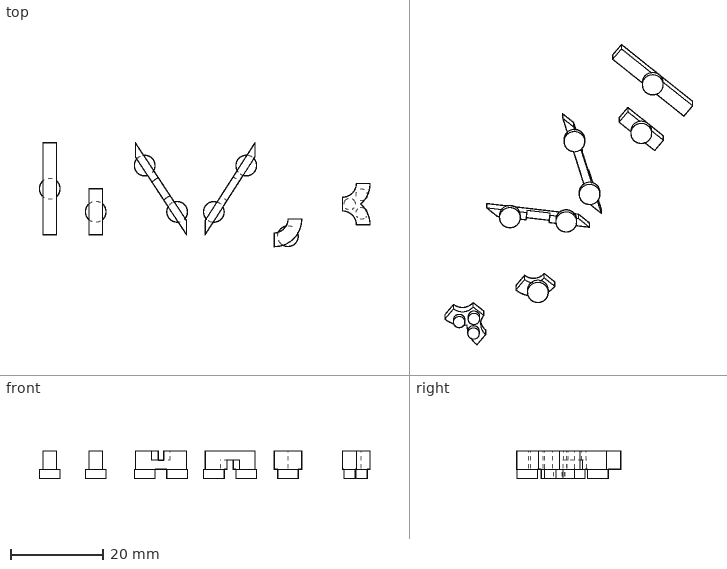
import cadquery as cq
import math

overall_length = 71.7

peg_height = 2.0
body_height = 4.0
notch_depth = 2.0
peg_diameter = 4.5
small_peg_diameter = 2.5

bar_width = 3.0
long_bar_length = 20.0
short_bar_length = long_bar_length / 2
bar_spacing = 10.0

slant_end_length = 3.1
slant_peg_rise = 5.0
slant_peg_run = 3.5
left_slant_center_x = 24.1
left_slant_span = 11.1
left_notch_length = 4.65
right_slant_center_x = 39.1
right_slant_span = 10.8
right_notch_length = 5.0

inner_radius = 3.0
outer_radius = inner_radius + bar_width
elbow_corner = (48.6, 3.45)
elbow_peg_offset = (3.0, -3.7)
fork_right_x = overall_length - peg_diameter / 2
fork_left_x = fork_right_x - outer_radius
fork_center_y = 6.7
fork_stem_peg_x = 1.6
fork_branch_peg_x = 4.15
fork_branch_peg_y = 2.0


def add_pegs(body, centers, diameter=peg_diameter):
    """Join round pegs to the underside of a body."""
    pegs = cq.Workplane("XY").pushPoints(centers).circle(diameter / 2).extrude(peg_height)
    return body.union(pegs)


def make_straight_bar(center_x, length):
    """Rectangular bar starting at Y = 0 with one central peg."""
    bar = (
        cq.Workplane("XY", origin=(center_x, length / 2, peg_height))
        .rect(bar_width, length)
        .extrude(body_height)
    )
    return add_pegs(bar, [(center_x, length / 2)])


def make_slanted_bar(center_x, span, lean, notch_length, notch_bottom):
    """Notched slanted bar; lean is +1 when it rises toward +X and -1 toward -X."""
    center_y = long_bar_length / 2
    side_x = lean * span / 2
    side_rise = long_bar_length - slant_end_length
    bar = (
        cq.Workplane("XY", origin=(center_x, 0, peg_height))
        .moveTo(-side_x, 0)
        .lineTo(side_x, side_rise)
        .lineTo(side_x, long_bar_length)
        .lineTo(-side_x, slant_end_length)
        .close()
        .extrude(body_height)
    )
    slant_angle = math.degrees(math.atan2(side_rise, lean * span))
    notch = (
        cq.Workplane("XY")
        .box(notch_length, slant_end_length, notch_depth, centered=(True, True, False))
        .rotate((0, 0, 0), (0, 0, 1), slant_angle)
        .translate((center_x, center_y, notch_bottom))
    )
    peg_centers = [
        (center_x + side * lean * slant_peg_run, center_y + side * slant_peg_rise)
        for side in (-1, 1)
    ]
    return add_pegs(bar.cut(notch), peg_centers)


def make_quarter_ring(center_x, center_y, turn):
    """Quarter ring on the +X side of its centre; turn is +1 toward +Y and -1 toward -Y."""
    diagonal = math.sqrt(0.5)
    return (
        cq.Workplane("XY", origin=(center_x, center_y, peg_height))
        .moveTo(inner_radius, 0)
        .lineTo(outer_radius, 0)
        .threePointArc(
            (outer_radius * diagonal, turn * outer_radius * diagonal),
            (0, turn * outer_radius),
        )
        .lineTo(0, turn * inner_radius)
        .threePointArc(
            (inner_radius * diagonal, turn * inner_radius * diagonal),
            (inner_radius, 0),
        )
        .close()
        .extrude(body_height)
    )


def make_elbow():
    """Quarter-ring piece with one peg."""
    corner_x, corner_y = elbow_corner
    offset_x, offset_y = elbow_peg_offset
    body = make_quarter_ring(corner_x, corner_y, -1)
    return add_pegs(body, [(corner_x + offset_x, corner_y + offset_y)])


def make_fork():
    """Two mirrored quarter rings sharing one stem, with a small peg under each end."""
    arc_center_offset = inner_radius + bar_width / 2
    upper_branch = make_quarter_ring(fork_left_x, fork_center_y + arc_center_offset, -1)
    lower_branch = make_quarter_ring(fork_left_x, fork_center_y - arc_center_offset, 1)
    peg_centers = [
        (fork_left_x + fork_stem_peg_x, fork_center_y),
        (fork_left_x + fork_branch_peg_x, fork_center_y + fork_branch_peg_y),
        (fork_left_x + fork_branch_peg_x, fork_center_y - fork_branch_peg_y),
    ]
    return add_pegs(upper_branch.union(lower_branch), peg_centers, small_peg_diameter)


long_bar = make_straight_bar(0, long_bar_length)
short_bar = make_straight_bar(bar_spacing, short_bar_length)

top_notch_bottom = peg_height + body_height - notch_depth
left_slanted_bar = make_slanted_bar(
    left_slant_center_x, left_slant_span, -1, left_notch_length, top_notch_bottom
)
right_slanted_bar = make_slanted_bar(
    right_slant_center_x, right_slant_span, 1, right_notch_length, peg_height
)

elbow = make_elbow()
fork = make_fork()

result = cq.Compound.makeCompound([
    long_bar.val(),
    short_bar.val(),
    left_slanted_bar.val(),
    right_slanted_bar.val(),
    elbow.val(),
    fork.val(),
])